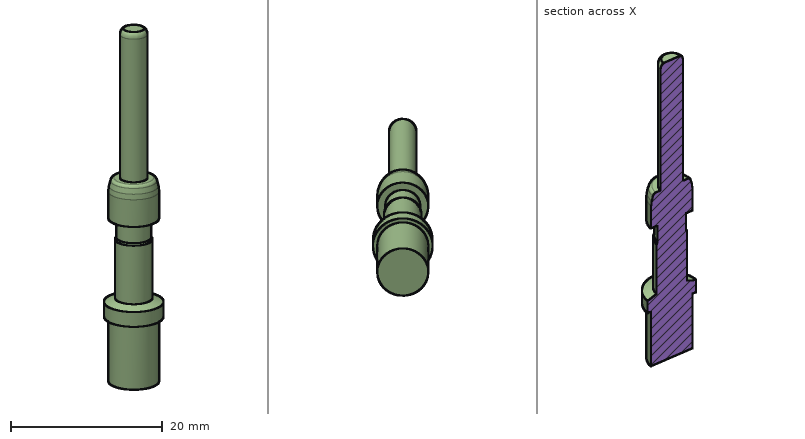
import cadquery as cq
import math

flange_bottom = 9.1
flange_edge_top = 11.2
flange_cone_top = 11.75
barrel_top = 20.0
neck_bottom = 20.3
collar_bottom = 22.95
collar_cylinder_top = 26.8
collar_lead_top = 27.55
collar_round_start = 28.3
collar_top = 28.7
tip_round_start = 48.85
total_length = 49.7

base_radius = 3.4
flange_radius = 3.95
barrel_radius = 2.5
neck_radius = 2.35
collar_radius = base_radius
collar_lead_radius = 3.3
collar_round_radius = 3.1
collar_face_radius = 2.65
pin_radius = 1.85
tip_face_radius = 1.4


def bulged_midpoint(start, end, bulge):
    """Middle point of an arc, pushed outward from its chord by the bulge."""
    step_r = end[0] - start[0]
    step_z = end[1] - start[1]
    chord = math.hypot(step_r, step_z)
    middle_r = (start[0] + end[0]) / 2 + bulge * step_z / chord
    middle_z = (start[1] + end[1]) / 2 - bulge * step_r / chord
    return (middle_r, middle_z)


collar_bulge = 0.075
tip_bulge = 0.125

collar_arc_start = (collar_round_radius, collar_round_start)
collar_arc_end = (collar_face_radius, collar_top)
tip_arc_start = (pin_radius, tip_round_start)
tip_arc_end = (tip_face_radius, total_length)

profile = (
    cq.Workplane("XZ")
    .moveTo(0, 0)
    .lineTo(base_radius, 0)
    .lineTo(base_radius, flange_bottom)
    .lineTo(flange_radius, flange_bottom)
    .lineTo(flange_radius, flange_edge_top)
    .lineTo(barrel_radius, flange_cone_top)
    .lineTo(barrel_radius, barrel_top)
    .lineTo(neck_radius, neck_bottom)
    .lineTo(neck_radius, collar_bottom)
    .lineTo(collar_radius, collar_bottom)
    .lineTo(collar_radius, collar_cylinder_top)
    .lineTo(collar_lead_radius, collar_lead_top)
    .lineTo(*collar_arc_start)
    .threePointArc(bulged_midpoint(collar_arc_start, collar_arc_end, collar_bulge), collar_arc_end)
    .lineTo(pin_radius, collar_top)
    .lineTo(*tip_arc_start)
    .threePointArc(bulged_midpoint(tip_arc_start, tip_arc_end, tip_bulge), tip_arc_end)
    .lineTo(0, total_length)
    .close()
)

result = profile.revolve(360, (0, 0), (0, 1))